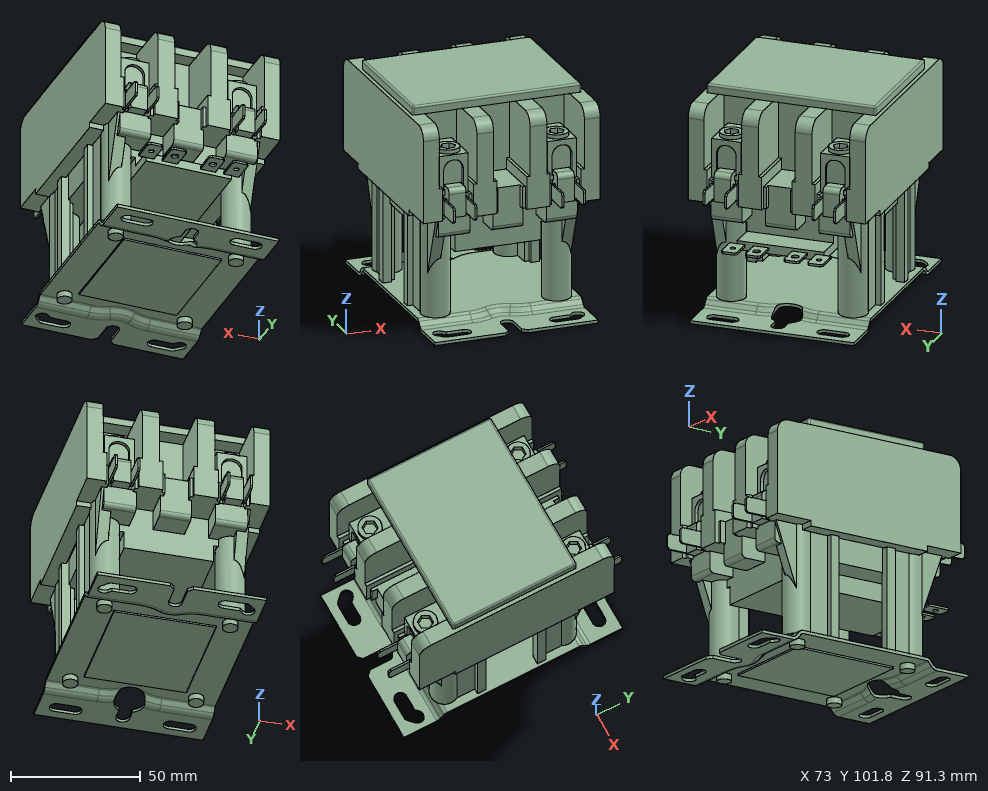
import cadquery as cq
import math


PLATE_X = 67.4
PLATE_Y = 95.9
PLATE_T = 1.3
PLATE_TOP = 4.6
JOGGLE_START = 33.6
JOGGLE_RUN = 4.7
JOGGLE_RISE = PLATE_TOP - PLATE_T
JOGGLE_ANGLE = math.radians(50)
DETOUR_HALF = 12.4
DETOUR_DEPTH = 3.1
DETOUR_MID_R = 7.2
STIFFENER_X = 40.7
STIFFENER_Y = 44.8
STIFFENER_T = 0.7

SLOT_W = 5.3
CORNER_SLOT_W = 5.1
CORNER_SLOT_Y = 41.3
CORNER_SLOT_INNER_X = 18.8
CORNER_SLOT_OUTER_X = 26.6
CORNER_SLOT_ARM = 2.0
OPEN_SLOT_END = -35.0
OPEN_SLOT_CHAMFER = 1.9
KEYHOLE_TOP = 44.1
KEYHOLE_HEAD_Y = 31.4
KEYHOLE_HEAD_D = 12.0

POST_X = 25.0
POST_Y = 25.7
POST_R = 5.8
FOOT_D = 5.9
FOOT_Z = 0.8
WEB_X0 = 26.8
WEB_X1 = 30.1
WEB_Y0 = 13.1
RIB_X0 = 28.7
RIB_X1 = 32.4
RIB_Y0 = 11.2
RIB_Y1 = 15.0
GUSSET_X1 = 29.6
GUSSET_TIP_Y = 28.7
GUSSET_TIP_Z = 21.4

HOUSING_X = 73.0
HOUSING_Y = 85.3
HOUSING_Z0 = 48.8
HOUSING_Z1 = 87.6
CORE_Y = 41.5
SIDE_WALL_IN = 29.9
MID_WALL_OUT = 14.5
MID_WALL_IN = 7.5
WALL_STEP = 1.3
WALL_STEP_Z = 62.2
WALL_R = 5.1
LEDGE_W = 1.2
LEDGE_Y = 81.8
LEDGE_Z = 57.6
SKIRT_Y = 54.2
SKIRT_Z = 46.5
SKIRT_IN = 30.4
TONGUE_Y = 38.6
TONGUE_Z = 40.1
TONGUE_R = 1.8
POLE_FLOOR_Z = 49.6

LID_X = 69.7
LID_Y = 54.2
LID_TOP = 91.3
LID_R = 0.8

COIL_TOP_X = 58.6
COIL_TOP_Z = 36.9
COIL_X = 35.6
COIL_Y = 55.8
COIL_Z = 29.4
COIL_SHELF_Z = 33.1
COIL_TAB_T = 0.9
COIL_TAB_Z = 30.9
COIL_TAB_END = 48.5
COIL_TAB_HOLE_Y = 43.7
COIL_TABS = ((7.9, 2.9), (17.7, 1.9))

POLE_X = 22.4
LUG_X = 12.0
LUG_FRONT = 38.3
LUG_TOP = 73.7
SEAT_FRONT = 37.3
SCREW_Y = 32.4
SCREW_D = 9.5
SCREW_TOP = 75.3
HEX_CORNERS = 6.1
HEX_DEPTH = 3.1
ARCH_W = 8.1
ARCH_TOP = 71.6
ARCH_BOTTOM = 59.6
ARCH_DEPTH = 1.4
BRACKET_X = 6.9
BRACKET_FRONT = 42.7
BRACKET_TOP = 61.4
BRACKET_R = 2.1
TAB_W = 6.3
TAB_T = 0.8
TAB_CHAMFER = 0.9
POLE_TAB_OFFSET = 4.5
POLE_TAB_ROOT = 39.6
POLE_TAB_END = 50.9
POLE_TAB_Z = 50.3


def box(x0, x1, y0, y1, z0, z1):
    size = (x1 - x0, y1 - y0, z1 - z0)
    return cq.Workplane("XY").box(*size, centered=False).translate((x0, y0, z0))


def centred_box(x_size, y_size, z0, z1):
    return box(-x_size / 2, x_size / 2, -y_size / 2, y_size / 2, z0, z1)


def both_x(shape):
    return shape.union(shape.mirror("YZ"))


def both_y(shape):
    return shape.union(shape.mirror("XZ"))


def joggle_line(sketch, shift):
    """Continue a sketch in +X along the front joggle, shifted by `shift` in +Y.

    Straight runs join an inward detour of three tangent arcs; shifted lines stay parallel.
    """
    centre_gap = (DETOUR_HALF**2 + DETOUR_DEPTH**2) / (2 * DETOUR_DEPTH)
    end_r = centre_gap - DETOUR_MID_R - shift
    mid_r = DETOUR_MID_R + shift
    tilt = math.asin(DETOUR_HALF / centre_gap)
    y = shift - JOGGLE_START
    crest = y + DETOUR_DEPTH

    def on_end(angle):
        return DETOUR_HALF - end_r * math.sin(angle), y + end_r * (1 - math.cos(angle))

    bend_x, bend_y = on_end(tilt)
    half_x, half_y = on_end(tilt / 2)
    return (
        sketch.lineTo(-DETOUR_HALF, y)
        .threePointArc((-half_x, half_y), (-bend_x, bend_y))
        .threePointArc((0, crest), (bend_x, bend_y))
        .threePointArc((half_x, half_y), (DETOUR_HALF, y))
        .lineTo(PLATE_X / 2, y)
    )


def joggle_section():
    """Closed YZ section of the joggle: two opposite bends joined by a slope."""
    sin_a = math.sin(JOGGLE_ANGLE)
    cos_a = math.cos(JOGGLE_ANGLE)
    radius = (JOGGLE_RUN * sin_a - JOGGLE_RISE * cos_a) / (2 * (1 - cos_a))
    y0 = -JOGGLE_START
    y1 = y0 + JOGGLE_RUN
    low_centre = PLATE_T + radius
    high_centre = PLATE_TOP - radius

    def low(r, angle):
        return y0 + r * math.sin(angle), low_centre - r * math.cos(angle)

    def high(r, angle):
        return y1 - r * math.sin(angle), high_centre + r * math.cos(angle)

    low_under = radius + PLATE_T
    high_under = radius - PLATE_T
    half = JOGGLE_ANGLE / 2
    return (
        cq.Workplane("YZ", origin=(-PLATE_X / 2, 0, 0))
        .moveTo(*low(radius, 0))
        .threePointArc(low(radius, half), low(radius, JOGGLE_ANGLE))
        .lineTo(*high(radius, JOGGLE_ANGLE))
        .threePointArc(high(radius, half), high(radius, 0))
        .lineTo(*high(high_under, 0))
        .threePointArc(high(high_under, half), high(high_under, JOGGLE_ANGLE))
        .lineTo(*low(low_under, JOGGLE_ANGLE))
        .threePointArc(low(low_under, half), low(low_under, 0))
        .close()
    )


def plate_half():
    """Front half of the mounting plate without openings."""
    half_x = PLATE_X / 2
    flange = cq.Workplane("XY").moveTo(-half_x, -PLATE_Y / 2).lineTo(-half_x, -JOGGLE_START)
    flange = joggle_line(flange, 0).lineTo(half_x, -PLATE_Y / 2).close().extrude(PLATE_T)

    middle = cq.Workplane("XY", origin=(0, 0, PLATE_TOP - PLATE_T)).moveTo(-half_x, 0)
    middle = middle.lineTo(-half_x, JOGGLE_RUN - JOGGLE_START)
    middle = joggle_line(middle, JOGGLE_RUN).lineTo(half_x, 0).close().extrude(PLATE_T)

    path = joggle_line(cq.Workplane("XY").moveTo(-half_x, -JOGGLE_START), 0)
    return flange.union(joggle_section().sweep(path)).union(middle)


def corner_slot():
    """Slot along X in the corner at +X, +Y."""
    run = CORNER_SLOT_OUTER_X - CORNER_SLOT_INNER_X
    return (
        cq.Workplane("XY")
        .center((CORNER_SLOT_OUTER_X + CORNER_SLOT_INNER_X) / 2, CORNER_SLOT_Y)
        .slot2D(run + CORNER_SLOT_W, CORNER_SLOT_W)
        .extrude(PLATE_T)
    )


def corner_slot_arm():
    """Short diagonal arm that bends the outer end of a front corner slot towards the post."""
    arm = CORNER_SLOT_ARM
    return (
        cq.Workplane("XY")
        .center(CORNER_SLOT_OUTER_X + arm / 2, -CORNER_SLOT_Y + arm / 2)
        .slot2D(math.hypot(arm, arm) + CORNER_SLOT_W, CORNER_SLOT_W, 45)
        .extrude(PLATE_T)
    )


def open_slot():
    """Round-ended slot open to the front edge, with a chamfered mouth."""
    half = SLOT_W / 2
    edge = -PLATE_Y / 2
    mouth = half + OPEN_SLOT_CHAMFER
    return (
        cq.Workplane("XY")
        .moveTo(-mouth, edge)
        .lineTo(-half, edge + OPEN_SLOT_CHAMFER)
        .lineTo(-half, OPEN_SLOT_END - half)
        .threePointArc((0, OPEN_SLOT_END), (half, OPEN_SLOT_END - half))
        .lineTo(half, edge + OPEN_SLOT_CHAMFER)
        .lineTo(mouth, edge)
        .close()
        .extrude(PLATE_T)
    )


def keyhole():
    """Large round head at the rear joggle with a narrow round-ended neck behind it."""
    head_r = KEYHOLE_HEAD_D / 2
    head = cq.Workplane("XY").center(0, KEYHOLE_HEAD_Y).circle(head_r).extrude(PLATE_TOP)
    half = SLOT_W / 2
    neck_y = KEYHOLE_TOP - half
    neck = box(-half, half, KEYHOLE_HEAD_Y, neck_y, 0, PLATE_TOP)
    neck_end = cq.Workplane("XY").center(0, neck_y).circle(half).extrude(PLATE_TOP)
    return head.union(neck).union(neck_end)


def mounting_plate():
    plate = both_y(plate_half())
    plate = plate.cut(both_y(both_x(corner_slot()))).cut(both_x(corner_slot_arm()))
    plate = plate.cut(open_slot()).cut(keyhole())
    underside = PLATE_TOP - PLATE_T
    return plate.union(centred_box(STIFFENER_X, STIFFENER_Y, underside - STIFFENER_T, underside))


def post():
    """Post of the front corner at +X with its foot, web, rib and gusset."""
    axis = cq.Workplane("XY").center(POST_X, -POST_Y)
    column = axis.workplane(offset=PLATE_TOP).circle(POST_R).extrude(HOUSING_Z0 - PLATE_TOP)
    foot = axis.workplane(offset=FOOT_Z).circle(FOOT_D / 2).extrude(PLATE_TOP - FOOT_Z)
    web = box(WEB_X0, WEB_X1, -POST_Y, -WEB_Y0, PLATE_TOP, HOUSING_Z0)
    rib = box(RIB_X0, RIB_X1, -RIB_Y1, -RIB_Y0, PLATE_TOP, HOUSING_Z0)
    gusset = (
        cq.Workplane("YZ", origin=(POST_X, 0, 0))
        .polyline([
            (-TONGUE_Y, HOUSING_Z0),
            (-POST_Y, HOUSING_Z0),
            (-POST_Y, GUSSET_TIP_Z),
            (-GUSSET_TIP_Y, GUSSET_TIP_Z),
        ])
        .close()
        .extrude(GUSSET_X1 - POST_X)
    )
    return column.union(foot).union(web).union(rib).union(gusset)


def wall(x0, x1):
    """Upright wall along Y with rounded upper ends."""
    slab = box(x0, x1, -HOUSING_Y / 2, HOUSING_Y / 2, HOUSING_Z0, HOUSING_Z1)
    return slab.edges("|X and >Z").fillet(WALL_R)


def walls():
    """Side wall and mid wall at +X, thicker near the bottom, with low ledges in the bays."""
    side_step = SIDE_WALL_IN - WALL_STEP
    mid_step_out = MID_WALL_OUT + WALL_STEP
    mid_step_in = MID_WALL_IN - WALL_STEP
    outer = HOUSING_X / 2

    def bar(x0, x1, y_size, z0, z1):
        return box(x0, x1, -y_size / 2, y_size / 2, z0, z1)

    return (
        wall(SIDE_WALL_IN, outer)
        .union(wall(MID_WALL_IN, MID_WALL_OUT))
        .union(bar(side_step, outer, HOUSING_Y, HOUSING_Z0, WALL_STEP_Z))
        .union(bar(mid_step_in, mid_step_out, HOUSING_Y, HOUSING_Z0, WALL_STEP_Z))
        .union(bar(side_step - LEDGE_W, side_step, LEDGE_Y, HOUSING_Z0, LEDGE_Z))
        .union(bar(mid_step_in - LEDGE_W, mid_step_out + LEDGE_W, LEDGE_Y, HOUSING_Z0, LEDGE_Z))
        .union(bar(SKIRT_IN, outer, SKIRT_Y, SKIRT_Z, HOUSING_Z0))
    )


def tongue(x_centre, x_size, top):
    """Bar under one bay, running the full depth, with rounded lower ends."""
    bar = centred_box(x_size, 2 * TONGUE_Y, TONGUE_Z, top)
    return bar.edges("|X and <Z").fillet(TONGUE_R).translate((x_centre, 0, 0))


def housing():
    body = centred_box(HOUSING_X, CORE_Y, HOUSING_Z0, HOUSING_Z1).union(both_x(walls()))

    mid_bay = 2 * (MID_WALL_IN - WALL_STEP)
    pole_bay = SIDE_WALL_IN - MID_WALL_OUT - 2 * WALL_STEP
    pole_bay_x = (SIDE_WALL_IN + MID_WALL_OUT) / 2
    body = body.union(tongue(0, mid_bay, HOUSING_Z0))
    body = body.union(both_x(tongue(pole_bay_x, pole_bay, POLE_FLOOR_Z)))
    mid_block = centred_box(mid_bay - 2 * LEDGE_W, 2 * TONGUE_Y, HOUSING_Z0, LEDGE_Z)
    return body.union(mid_block)


def lid():
    return (
        centred_box(LID_X, LID_Y, HOUSING_Z1, LID_TOP)
        .edges("|Z").fillet(LID_R)
        .faces(">Z").edges().fillet(LID_R)
    )


def coil_tab(x, hole_d):
    half = TAB_W / 2
    tab = box(x - half, x + half, TONGUE_Y, COIL_TAB_END, COIL_TAB_Z, COIL_TAB_Z + COIL_TAB_T)
    tab = tab.edges("|Z and >Y").chamfer(TAB_CHAMFER)
    hole = cq.Workplane("XY", origin=(x, COIL_TAB_HOLE_Y, 0)).circle(hole_d / 2).extrude(HOUSING_Z0)
    return tab.cut(hole)


def coil():
    half = COIL_X / 2
    body = centred_box(COIL_TOP_X, COIL_Y, COIL_TOP_Z, HOUSING_Z0)
    body = body.union(centred_box(COIL_X, COIL_Y, COIL_Z, COIL_TOP_Z))
    body = body.union(box(-half, half, 0, TONGUE_Y, COIL_Z, COIL_SHELF_Z))
    for x, hole_d in COIL_TABS:
        body = body.union(both_x(coil_tab(x, hole_d)))
    return body


def lug():
    """Clamp lug with an arched recess in its front face and a hex-socket screw on top."""
    block = box(-LUG_X / 2, LUG_X / 2, -LUG_FRONT, -CORE_Y / 2, LEDGE_Z, LUG_TOP)
    half = ARCH_W / 2
    spring = ARCH_TOP - half
    arch = (
        cq.Workplane("XZ", origin=(0, -LUG_FRONT, 0))
        .moveTo(-half, ARCH_BOTTOM)
        .lineTo(-half, spring)
        .threePointArc((0, ARCH_TOP), (half, spring))
        .lineTo(half, ARCH_BOTTOM)
        .close()
        .extrude(-ARCH_DEPTH)
    )
    axis = cq.Workplane("XY").center(0, -SCREW_Y)
    screw = axis.workplane(offset=LUG_TOP).circle(SCREW_D / 2).extrude(SCREW_TOP - LUG_TOP)
    socket = axis.workplane(offset=SCREW_TOP).polygon(6, HEX_CORNERS).extrude(-HEX_DEPTH)
    return block.cut(arch).union(screw).cut(socket)


def terminal():
    """Front terminal of the pole at +X."""
    seat_x = LUG_X - 2 * LEDGE_W
    seat = box(-seat_x / 2, seat_x / 2, -SEAT_FRONT, -CORE_Y / 2, POLE_FLOOR_Z, LEDGE_Z)
    bracket_back = ARCH_DEPTH - LUG_FRONT
    half_x = BRACKET_X / 2
    bracket = box(-half_x, half_x, -BRACKET_FRONT, bracket_back, POLE_FLOOR_Z, BRACKET_TOP)
    bracket = bracket.edges("|X and >Z and <Y").fillet(BRACKET_R)

    tab_top = POLE_TAB_Z + TAB_W
    reach = POLE_TAB_OFFSET + TAB_T / 2
    bridge = box(-reach, reach, -POLE_TAB_ROOT - TAB_T, -POLE_TAB_ROOT, POLE_TAB_Z, tab_top)
    tab = box(reach - TAB_T, reach, -POLE_TAB_END, -POLE_TAB_ROOT, POLE_TAB_Z, tab_top)
    tab = tab.edges("|X and <Y").chamfer(TAB_CHAMFER)

    unit = seat.union(lug()).union(bracket).union(bridge).union(both_x(tab))
    return unit.translate((POLE_X, 0, 0))


result = (
    mounting_plate()
    .union(both_y(both_x(post())))
    .union(coil())
    .union(housing())
    .union(lid())
    .union(both_y(both_x(terminal())))
)